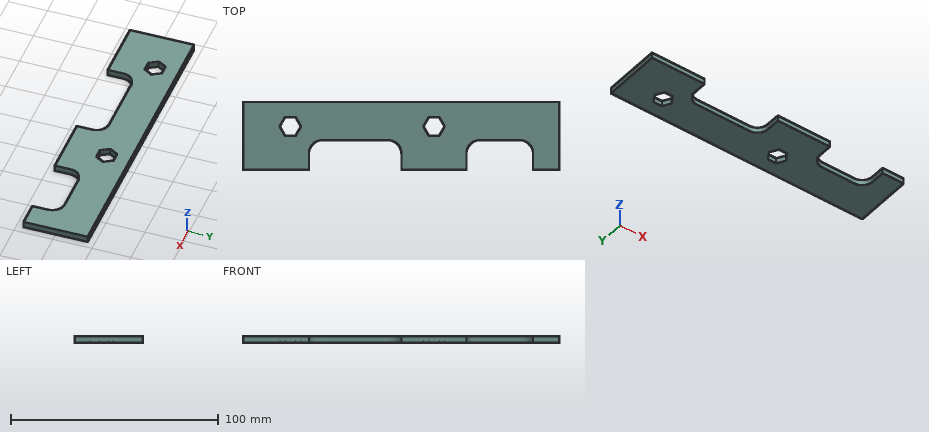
import cadquery as cq
import math

plate_length = 152.4
plate_width = 32.84
plate_thickness = 3.3

notch_depth = 14.3
notch_corner_radius = 6.35
notches = [(31.75, 44.45), (107.7, 32.0)]

hex_across_flats = 8.75
hex_corner_diameter = hex_across_flats / math.cos(math.pi / 6)
hex_center_y = 21.0
hex_centers_x = [22.7, 92.0]


def make_plate():
    """Flat rectangular plate with its lower front left corner at the origin."""
    return cq.Workplane("XY").box(plate_length, plate_width, plate_thickness, centered=False)


def make_notch(left, length):
    """Cutter for an edge notch with rounded inner corners."""
    return (
        cq.Workplane("XY")
        .box(length, notch_depth, plate_thickness, centered=False)
        .edges("|Z and >Y")
        .fillet(notch_corner_radius)
        .translate((left, 0, 0))
    )


def make_hex_holes():
    """Cutters for the hexagonal holes."""
    centers = [(x, hex_center_y) for x in hex_centers_x]
    return (
        cq.Workplane("XY")
        .pushPoints(centers)
        .polygon(6, hex_corner_diameter)
        .extrude(plate_thickness)
    )


result = make_plate()
for notch_left, notch_length in notches:
    result = result.cut(make_notch(notch_left, notch_length))
result = result.cut(make_hex_holes())